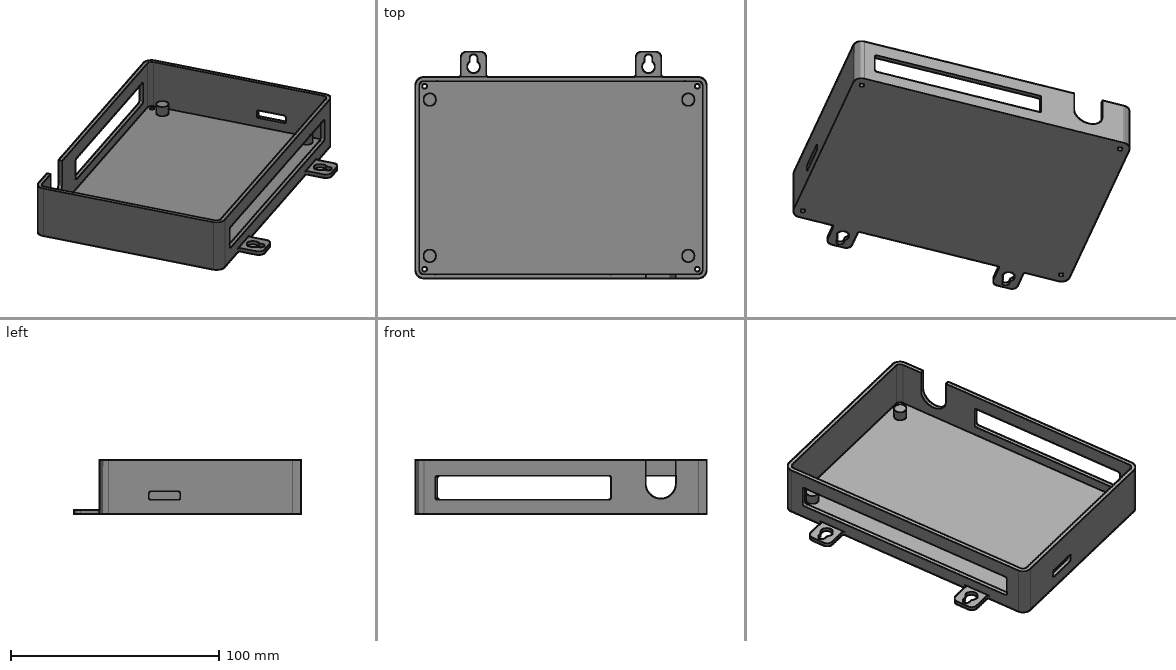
import cadquery as cq

length = 140.0
depth = 96.8
height = 26.0
wall = 2.0
floor = 2.0
corner_radius = 4.2
inner_corner_radius = corner_radius - wall

post_diameter = 6.0
post_height = 5.0
post_inset_left = 7.0
post_inset_right = 8.9
post_inset_y = 10.9
hole_diameter = 2.2
hole_inset = 4.5

tab_spacing = 84.0
tab_width = 12.4
tab_reach = 12.2
tab_thickness = 2.0
tab_corner_radius = 3.0
tab_root_radius = 0.9
keyhole_head_diameter = 6.0
keyhole_head_offset = 4.9
keyhole_neck_width = 3.6
keyhole_neck_offset = 9.0

window_bottom = 7.0
window_height = 11.4
window_corner_radius = 1.2
front_window_inset = 9.6
front_window_width = 84.4
rear_window_width = 118.7

notch_x = 47.9
notch_width = 14.4
notch_centre_z = 14.7

port_rear_inset = 31.3
port_width = 15.0
port_bottom = 6.8
port_height = 4.1
port_corner_radius = 0.9


def corner_points(inset_left, inset_right, inset_y):
    y = depth / 2 - inset_y
    columns = (-length / 2 + inset_left, length / 2 - inset_right)
    return [(x, side * y) for x in columns for side in (-1, 1)]


def make_tray():
    outside = cq.Workplane("XY").box(length, depth, height, centered=(True, True, False))
    outside = outside.edges("|Z").fillet(corner_radius)
    cavity = (
        cq.Workplane("XY", origin=(0, 0, floor))
        .box(length - 2 * wall, depth - 2 * wall, height, centered=(True, True, False))
        .edges("|Z")
        .fillet(inner_corner_radius)
    )
    return outside.cut(cavity)


def make_posts():
    return (
        cq.Workplane("XY")
        .pushPoints(corner_points(post_inset_left, post_inset_right, post_inset_y))
        .circle(post_diameter / 2)
        .extrude(floor + post_height)
    )


def make_floor_holes():
    return (
        cq.Workplane("XY")
        .pushPoints(corner_points(hole_inset, hole_inset, hole_inset))
        .circle(hole_diameter / 2)
        .extrude(floor)
    )


def make_tab(x):
    """Hanging tab whose sides flare into the rear wall, pierced by a keyhole."""
    half_width = tab_width / 2
    root = half_width + tab_root_radius
    corner = tab_reach - tab_corner_radius
    base = -wall / 2
    plan = (
        cq.Workplane("XY", origin=(x, depth / 2, 0))
        .moveTo(-root, base)
        .lineTo(-root, 0)
        .radiusArc((-half_width, tab_root_radius), -tab_root_radius)
        .lineTo(-half_width, corner)
        .radiusArc((-half_width + tab_corner_radius, tab_reach), tab_corner_radius)
        .lineTo(half_width - tab_corner_radius, tab_reach)
        .radiusArc((half_width, corner), tab_corner_radius)
        .lineTo(half_width, tab_root_radius)
        .radiusArc((root, 0), -tab_root_radius)
        .lineTo(root, base)
        .close()
        .extrude(tab_thickness)
    )
    head = (
        cq.Workplane("XY", origin=(x, depth / 2 + keyhole_head_offset, 0))
        .circle(keyhole_head_diameter / 2)
        .extrude(tab_thickness)
    )
    neck_run = keyhole_neck_offset - keyhole_head_offset
    neck = (
        cq.Workplane("XY", origin=(x, depth / 2 + keyhole_head_offset + neck_run / 2, 0))
        .slot2D(neck_run + keyhole_neck_width, keyhole_neck_width, 90)
        .extrude(tab_thickness)
    )
    return plan.cut(head).cut(neck)


def make_window(x, y, width):
    """Rounded window cutter passing through a front or rear wall centred on y."""
    return (
        cq.Workplane("XY", origin=(x, y, window_bottom))
        .box(width, 2 * wall, window_height, centered=(True, True, False))
        .edges("|Y")
        .fillet(window_corner_radius)
    )


def make_notch():
    radius = notch_width / 2
    rise = height - notch_centre_z
    return (
        cq.Workplane("XZ", origin=(notch_x, -depth / 2 + wall, notch_centre_z))
        .moveTo(-radius, rise)
        .lineTo(-radius, 0)
        .threePointArc((0, -radius), (radius, 0))
        .lineTo(radius, rise)
        .close()
        .extrude(wall)
    )


def make_port():
    port_y = depth / 2 - port_rear_inset
    return (
        cq.Workplane("XY", origin=(-length / 2 + wall / 2, port_y, port_bottom))
        .box(2 * wall, port_width, port_height, centered=(True, True, False))
        .edges("|X")
        .fillet(port_corner_radius)
    )


result = make_tray().union(make_posts()).cut(make_floor_holes())
for side in (-1, 1):
    result = result.union(make_tab(side * tab_spacing / 2))

front_wall_y = -depth / 2 + wall / 2
rear_wall_y = depth / 2 - wall / 2
front_window_x = -length / 2 + front_window_inset + front_window_width / 2
result = result.cut(make_window(front_window_x, front_wall_y, front_window_width))
result = result.cut(make_window(0, rear_wall_y, rear_window_width))
result = result.cut(make_notch()).cut(make_port())